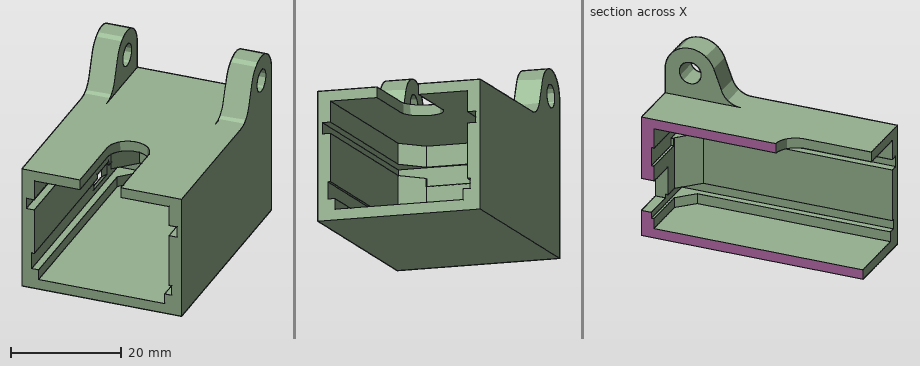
import cadquery as cq
import math

WIDTH = 31.3
LENGTH = 44.0
BODY_HEIGHT = 24.2

FLOOR = 2.0
ROOF = 2.0
CAVITY_WIDTH = 26.4
BACK_WALL = 2.5
CORNER_CHAMFER = 4.0
FOOT_WIDTH = 24.7

GROOVE_BACK_WALL = 2.0
LOWER_GROOVE_WIDTH = 27.4
LOWER_GROOVE_BOTTOM = 4.0
LOWER_GROOVE_HEIGHT = 1.9
LEFT_GROOVE_HEIGHT = 3.2
UPPER_GROOVE_WIDTH = 29.5
UPPER_GROOVE_BOTTOM = 16.2
UPPER_GROOVE_HEIGHT = 2.1
RECESS_WIDTH = 18.1
RECESS_HEIGHT = 1.5
RECESS_OFFSET = -0.2

SLOT_WIDTH = 8.0
SLOT_LENGTH = 17.3
SLOT_OFFSET = -0.25

REAR_OPENING_WIDTH = 12.6
REAR_OPENING_BOTTOM = 5.2
REAR_OPENING_HEIGHT = 6.4

WINDOW_LENGTH = 10.4
WINDOW_HEIGHT = 7.4
WINDOW_BOTTOM = 3.1
WINDOW_FROM_BACK = 5.2
WINDOW_TAPER = 45.0

LUG_THICKNESS = 5.0
LUG_RADIUS = 5.0
LUG_RISE = 5.0
LUG_BASE_LENGTH = 15.0
LUG_FILLET = 4.0
HINGE_HOLE = 4.3

CAVITY_TOP = BODY_HEIGHT - ROOF
WALL = (WIDTH - CAVITY_WIDTH) / 2
HINGE_Y = LENGTH - LUG_RADIUS
HINGE_Z = BODY_HEIGHT + LUG_RISE


def front_block(width, bottom, height, depth, x_center=0.0):
    """Block running back from the front face."""
    block = cq.Workplane("XY").box(width, depth, height, centered=(True, False, False))
    return block.translate((x_center, 0, bottom))


def chamfered_block(width, bottom, height):
    """Part of the main cavity; its rear corners follow the 45 degree corner faces."""
    back = LENGTH - BACK_WALL
    half_back = CAVITY_WIDTH / 2 - CORNER_CHAMFER
    half = width / 2
    corner_y = back - (half - half_back)
    outline = [
        (-half, 0),
        (half, 0),
        (half, corner_y),
        (half_back, back),
        (-half_back, back),
        (-half, corner_y),
    ]
    return cq.Workplane("XY").workplane(offset=bottom).polyline(outline).close().extrude(height)


def cavity():
    foot = chamfered_block(FOOT_WIDTH, FLOOR, LOWER_GROOVE_BOTTOM - FLOOR)
    main = chamfered_block(CAVITY_WIDTH, LOWER_GROOVE_BOTTOM, CAVITY_TOP - LOWER_GROOVE_BOTTOM)
    return foot.union(main)


def board_grooves():
    depth = LENGTH - GROOVE_BACK_WALL
    lower = front_block(LOWER_GROOVE_WIDTH, LOWER_GROOVE_BOTTOM, LOWER_GROOVE_HEIGHT, depth)
    left_depth = (LOWER_GROOVE_WIDTH - CAVITY_WIDTH) / 2
    left_center = -(CAVITY_WIDTH + left_depth) / 2
    left = front_block(left_depth, LOWER_GROOVE_BOTTOM, LEFT_GROOVE_HEIGHT, depth, left_center)
    upper = front_block(UPPER_GROOVE_WIDTH, UPPER_GROOVE_BOTTOM, UPPER_GROOVE_HEIGHT, depth)
    recess_bottom = UPPER_GROOVE_BOTTOM - RECESS_HEIGHT
    recess = front_block(RECESS_WIDTH, recess_bottom, RECESS_HEIGHT, depth, RECESS_OFFSET)
    return lower.union(left).union(upper).union(recess)


def roof_slot():
    radius = SLOT_WIDTH / 2
    straight = SLOT_LENGTH - radius
    return (
        cq.Workplane("XY")
        .workplane(offset=CAVITY_TOP)
        .moveTo(SLOT_OFFSET - radius, 0)
        .lineTo(SLOT_OFFSET - radius, straight)
        .threePointArc((SLOT_OFFSET, SLOT_LENGTH), (SLOT_OFFSET + radius, straight))
        .lineTo(SLOT_OFFSET + radius, 0)
        .close()
        .extrude(ROOF)
    )


def rear_opening():
    return front_block(REAR_OPENING_WIDTH, REAR_OPENING_BOTTOM, REAR_OPENING_HEIGHT, LENGTH)


def side_window():
    center_y = LENGTH - WINDOW_FROM_BACK - WINDOW_LENGTH / 2
    center_z = WINDOW_BOTTOM + WINDOW_HEIGHT / 2
    return (
        cq.Workplane("YZ", origin=(-WIDTH / 2, center_y, center_z))
        .rect(WINDOW_LENGTH, WINDOW_HEIGHT)
        .extrude(WALL, taper=WINDOW_TAPER)
    )


def lug(x_start):
    """Lug with a round top and a straight flank that runs tangent into a fillet on the roof."""
    fillet_y = LENGTH - LUG_BASE_LENGTH
    fillet_z = BODY_HEIGHT + LUG_FILLET
    run = HINGE_Y - fillet_y
    rise = HINGE_Z - fillet_z
    flank = math.acos((LUG_RADIUS + LUG_FILLET) / math.hypot(run, rise)) - math.atan2(rise, run)

    def on_lug(angle):
        return (HINGE_Y - LUG_RADIUS * math.cos(angle), HINGE_Z + LUG_RADIUS * math.sin(angle))

    def on_fillet(angle):
        return (fillet_y + LUG_FILLET * math.cos(angle), fillet_z - LUG_FILLET * math.sin(angle))

    return (
        cq.Workplane("YZ", origin=(x_start, 0, 0))
        .moveTo(LENGTH, BODY_HEIGHT)
        .lineTo(LENGTH, HINGE_Z)
        .threePointArc(on_lug((flank + math.pi) / 2), on_lug(flank))
        .lineTo(*on_fillet(flank))
        .threePointArc(on_fillet((flank + math.pi / 2) / 2), (fillet_y, BODY_HEIGHT))
        .close()
        .extrude(LUG_THICKNESS)
    )


def hinge_hole():
    return (
        cq.Workplane("YZ", origin=(-WIDTH / 2, HINGE_Y, HINGE_Z))
        .circle(HINGE_HOLE / 2)
        .extrude(WIDTH)
    )


result = front_block(WIDTH, 0, BODY_HEIGHT, LENGTH)
for lug_start in (-WIDTH / 2, WIDTH / 2 - LUG_THICKNESS):
    result = result.union(lug(lug_start))
for opening in (cavity(), board_grooves(), roof_slot(), rear_opening(), side_window(), hinge_hole()):
    result = result.cut(opening)